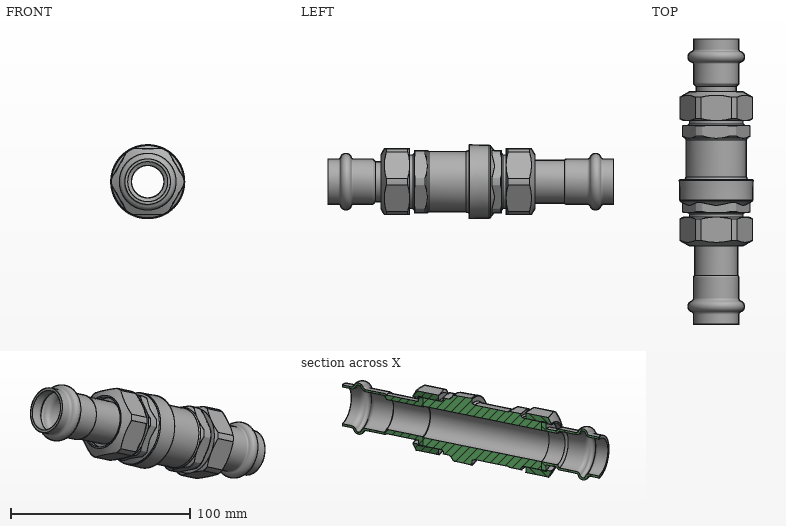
import cadquery as cq
import math


TOTAL_LENGTH = 159.38
ORIGIN = (0, 0, 0)
Y_AXIS = (0, 1, 0)
Z_AXIS = (0, 0, 1)

NUT_LENGTH = 16.1
NUT_FLATS = 36.8
NUT_CORNERS = 40.6
NUT_LIP_FACE_DIA = 30.0
NUT_OPEN_FACE_DIA = 36.8
NUT_HOLE_DIA = 28.3
NUT_LIP = 3.2
UPPER_NUT_START = 29.5
LOWER_NUT_END = 115.55
CHAMFER_SLOPE = math.tan(math.radians(30))

SOCKET_OD = 25.4
SOCKET_ID = 22.35
SOCKET_WALL = (SOCKET_OD - SOCKET_ID) / 2
BEAD_STATION = 10.05
BEAD_RADIUS = 3.15
SHOULDER_RADIUS = 1.2
SHOULDER_TURN = math.radians(45)
BORE_TAPER = 1.2
COLLAR_DIA = 29.6
COLLAR_LENGTH = 3.0

UPPER_SOCKET_LENGTH = 24.6
UPPER_NECK_DIA = 22.5
UPPER_BORE = 19.05
UPPER_BEAD_FILLET = 1.0
UPPER_COLLAR_START = UPPER_NUT_START + NUT_LIP

LOWER_SOCKET_LENGTH = 26.2
LOWER_NECK_DIA = 24.1
LOWER_BORE = 18.01
LOWER_BEAD_FILLET = 1.8
LOWER_COLLAR_START = TOTAL_LENGTH - LOWER_NUT_END + NUT_LIP

HOUSING_START = UPPER_COLLAR_START + COLLAR_LENGTH
HOUSING_END = TOTAL_LENGTH - LOWER_COLLAR_START - COLLAR_LENGTH
HOUSING_BORE = 19.05
THREAD_DIA = 30.0
ROOT_DIA = 31.8
ROOT_LENGTH = 0.8

HEX_FLATS = 34.7
HEX_CORNERS = 37.9
HEX_CORNER_BLEND = 1.0
HEX_EDGE_CHAMFER = 0.5
UPPER_HEX_START = 48.2
UPPER_HEX_CONE_START = 54.2
UPPER_HEX_CONE_END = 55.4
UPPER_HEX_CONE_DIA = 34.8
LOWER_HEX_END = 96.9

BARREL_DIA = 33.8
BARREL_START = 56.3
BARREL_END = 77.0
BARREL_FLARE_DIA = 35.0

RING_START = 78.6
RING_END = 90.6
RING_DIA = 41.38
RING_RIM = 0.4
RING_WAIST_DIA = 40.95
RING_LOWER_DIA = 40.85
RING_EDGE = 0.8
RING_CONE_DIA = 40.3
NECK_START = 91.9
NECK_START_DIA = 36.6
NECK_MID = 92.5
NECK_MID_DIA = 35.2
NECK_END = 93.5
NECK_END_DIA = 34.4


def y_at(station):
    return TOTAL_LENGTH / 2 - station


def revolve(outline):
    return outline.close().revolve(360, ORIGIN, Y_AXIS)


def at(diameter, station):
    """Outline point on the given diameter at an axial station."""
    return (diameter / 2, y_at(station))


def hexagon_bar(across_flats, start, end):
    """Hexagonal bar along Y with flats facing +Z and -Z."""
    across_corners = across_flats / math.cos(math.pi / 6)
    face = cq.Workplane("XZ", origin=(0, y_at(start), 0))
    return face.polygon(6, across_corners).extrude(end - start)


def cylinder(diameter, start, end):
    face = cq.Workplane("XZ", origin=(0, y_at(start), 0))
    return face.circle(diameter / 2).extrude(end - start)


def make_nut():
    """Nut with its lip face at station 0 and its open, threaded end facing -Y."""
    lip_chamfer = (NUT_CORNERS - NUT_LIP_FACE_DIA) / 2 * CHAMFER_SLOPE
    open_chamfer = (NUT_CORNERS - NUT_OPEN_FACE_DIA) / 2 * CHAMFER_SLOPE
    outline = cq.Workplane("XY").polyline([
        at(NUT_HOLE_DIA, 0),
        at(NUT_LIP_FACE_DIA, 0),
        at(NUT_CORNERS, lip_chamfer),
        at(NUT_CORNERS, NUT_LENGTH - open_chamfer),
        at(NUT_OPEN_FACE_DIA, NUT_LENGTH),
        at(THREAD_DIA, NUT_LENGTH),
        at(THREAD_DIA, NUT_LIP),
        at(NUT_HOLE_DIA, NUT_LIP),
    ])
    return revolve(outline).intersect(hexagon_bar(NUT_FLATS, 0, NUT_LENGTH))


def add_bead(outline, wall_radius, bead_radius, fillet):
    """Continue an outline along a socket wall and over its filleted round bead.

    The bead's circle is centred on the outer wall of the socket.
    """
    centre_r = SOCKET_OD / 2
    centre_y = y_at(BEAD_STATION)
    reach = bead_radius + fillet
    rise = wall_radius + fillet - centre_r
    half_width = math.sqrt(reach ** 2 - rise ** 2)
    tangent_r = centre_r + rise * bead_radius / reach
    tangent_y = half_width * bead_radius / reach
    half_turn = math.atan2(half_width, rise) / 2
    fillet_mid_r = wall_radius + fillet * (1 - math.cos(half_turn))
    fillet_mid_y = half_width - fillet * math.sin(half_turn)
    return (
        outline.lineTo(wall_radius, centre_y + half_width)
        .threePointArc((fillet_mid_r, centre_y + fillet_mid_y), (tangent_r, centre_y + tangent_y))
        .threePointArc((centre_r + bead_radius, centre_y), (tangent_r, centre_y - tangent_y))
        .threePointArc((fillet_mid_r, centre_y - fillet_mid_y), (wall_radius, centre_y - half_width))
    )


def shoulder_point(socket_length, turn):
    """Point on the rounded shoulder after turning inward by the given angle."""
    radial_drop = SHOULDER_RADIUS * (1 - math.cos(turn))
    return at(SOCKET_OD - 2 * radial_drop, socket_length + SHOULDER_RADIUS * math.sin(turn))


def make_tail(neck_dia, bore, bead_fillet, socket_length, collar_start):
    """Tail with its open socket at station 0, running toward -Y."""
    end = collar_start + COLLAR_LENGTH
    shoulder_end = shoulder_point(socket_length, SHOULDER_TURN)
    taper_end_y = shoulder_end[1] - (shoulder_end[0] - neck_dia / 2) / math.tan(SHOULDER_TURN)

    outside = cq.Workplane("XY").moveTo(*at(0, 0)).lineTo(*at(SOCKET_OD, 0))
    outside = add_bead(outside, SOCKET_OD / 2, BEAD_RADIUS, bead_fillet)
    outside = (
        outside.lineTo(*at(SOCKET_OD, socket_length))
        .threePointArc(shoulder_point(socket_length, SHOULDER_TURN / 2), shoulder_end)
        .lineTo(neck_dia / 2, taper_end_y)
        .lineTo(*at(neck_dia, collar_start))
        .lineTo(*at(COLLAR_DIA, collar_start))
        .lineTo(*at(COLLAR_DIA, end))
        .lineTo(*at(0, end))
    )

    inside = cq.Workplane("XY").moveTo(*at(0, 0)).lineTo(*at(SOCKET_ID, 0))
    inside = add_bead(
        inside, SOCKET_ID / 2, BEAD_RADIUS - SOCKET_WALL, bead_fillet + SOCKET_WALL
    )
    inside = (
        inside.lineTo(*at(SOCKET_ID, socket_length))
        .lineTo(*at(bore, socket_length + BORE_TAPER))
        .lineTo(*at(bore, end))
        .lineTo(*at(0, end))
    )
    return revolve(outside).cut(revolve(inside))


def blended_hexagon(start, end):
    """Hexagon whose corners are turned round and blended into the flats."""
    bar = hexagon_bar(HEX_FLATS, start, end).intersect(cylinder(HEX_CORNERS, start, end))
    return bar.edges("|Y").fillet(HEX_CORNER_BLEND)


def make_housing():
    hex_face_dia = HEX_CORNERS - 2 * HEX_EDGE_CHAMFER / CHAMFER_SLOPE

    threads = revolve(cq.Workplane("XY").polyline([
        at(0, HOUSING_START),
        at(THREAD_DIA, HOUSING_START),
        at(THREAD_DIA, UPPER_HEX_START - ROOT_LENGTH),
        at(ROOT_DIA, UPPER_HEX_START),
        at(ROOT_DIA, LOWER_HEX_END),
        at(THREAD_DIA, LOWER_HEX_END + ROOT_LENGTH),
        at(THREAD_DIA, HOUSING_END),
        at(0, HOUSING_END),
    ]))

    upper_hex_limit = revolve(cq.Workplane("XY").polyline([
        at(0, UPPER_HEX_START),
        at(hex_face_dia, UPPER_HEX_START),
        at(HEX_CORNERS, UPPER_HEX_START + HEX_EDGE_CHAMFER),
        at(HEX_CORNERS, UPPER_HEX_CONE_START),
        at(UPPER_HEX_CONE_DIA, UPPER_HEX_CONE_END),
        at(BARREL_DIA, BARREL_START),
        at(0, BARREL_START),
    ]))
    upper_hex = blended_hexagon(UPPER_HEX_START, BARREL_START).intersect(upper_hex_limit)

    lower_hex_limit = revolve(cq.Workplane("XY").polyline([
        at(0, RING_END),
        at(HEX_CORNERS, RING_END),
        at(HEX_CORNERS, LOWER_HEX_END - HEX_EDGE_CHAMFER),
        at(hex_face_dia, LOWER_HEX_END),
        at(0, LOWER_HEX_END),
    ]))
    lower_hex = blended_hexagon(RING_END, LOWER_HEX_END).intersect(lower_hex_limit)

    ring_edge_start = RING_END - RING_EDGE
    ring_waist = (RING_START + ring_edge_start) / 2
    barrel_and_ring = revolve(
        cq.Workplane("XY").moveTo(*at(0, BARREL_START))
        .lineTo(*at(BARREL_DIA, BARREL_START))
        .lineTo(*at(BARREL_DIA, BARREL_END))
        .lineTo(*at(BARREL_FLARE_DIA, RING_START))
        .lineTo(*at(RING_DIA - 2 * RING_RIM, RING_START))
        .lineTo(*at(RING_DIA, RING_START + RING_RIM))
        .threePointArc(at(RING_WAIST_DIA, ring_waist), at(RING_LOWER_DIA, ring_edge_start))
        .lineTo(*at(RING_CONE_DIA, RING_END))
        .lineTo(*at(NECK_START_DIA, NECK_START))
        .threePointArc(at(NECK_MID_DIA, NECK_MID), at(NECK_END_DIA, NECK_END))
        .lineTo(*at(0, NECK_END))
    )

    solid = threads.union(upper_hex).union(barrel_and_ring).union(lower_hex)
    return solid.cut(cylinder(HOUSING_BORE, HOUSING_START, HOUSING_END))


def turned_end_for_end(body):
    return body.rotate(ORIGIN, Z_AXIS, 180)


housing = make_housing()

upper_nut = make_nut().translate((0, -UPPER_NUT_START, 0))
lower_nut = turned_end_for_end(make_nut()).translate((0, TOTAL_LENGTH - LOWER_NUT_END, 0))

upper_tail = make_tail(
    UPPER_NECK_DIA, UPPER_BORE, UPPER_BEAD_FILLET, UPPER_SOCKET_LENGTH, UPPER_COLLAR_START
)
lower_tail = turned_end_for_end(make_tail(
    LOWER_NECK_DIA, LOWER_BORE, LOWER_BEAD_FILLET, LOWER_SOCKET_LENGTH, LOWER_COLLAR_START
))

result = cq.Compound.makeCompound(
    [housing.val(), upper_nut.val(), lower_nut.val(), upper_tail.val(), lower_tail.val()]
)